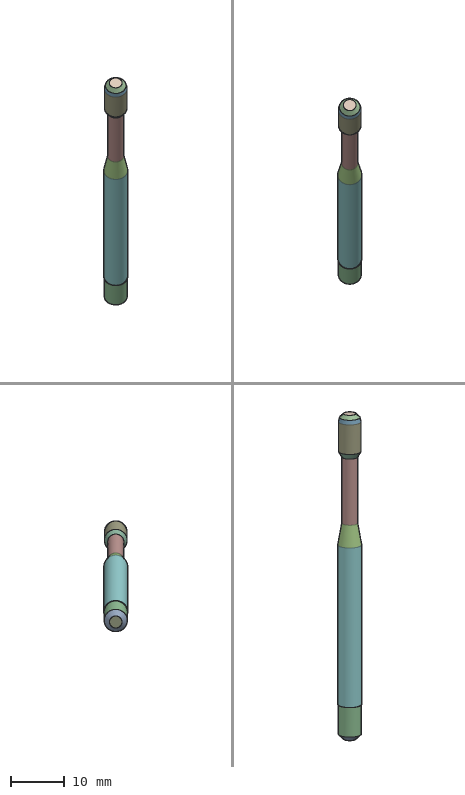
import cadquery as cq


body_diameter = 4.5
tail_diameter = 4.32
head_diameter = 4.25
shoulder_diameter = 3.85
neck_diameter = 3.02

total_length = 63.2
tail_chamfer = 1.0
crown_chamfer = 0.74
shoulder_taper_length = 0.84
head_length = 5.75
head_underside_length = 1.07
neck_taper_length = 4.2

tail_top = 6.75
body_top = 37.75
neck_bottom = body_top + neck_taper_length
crown_bottom = total_length - crown_chamfer
head_top = crown_bottom - shoulder_taper_length
head_bottom = head_top - head_length
neck_top = head_bottom - head_underside_length

tail_face_diameter = tail_diameter - 2 * tail_chamfer
crown_face_diameter = shoulder_diameter - 2 * crown_chamfer

stations = [
    (tail_face_diameter, 0),
    (tail_diameter, tail_chamfer),
    (tail_diameter, tail_top),
    (body_diameter, tail_top),
    (body_diameter, body_top),
    (neck_diameter, neck_bottom),
    (neck_diameter, neck_top),
    (head_diameter, head_bottom),
    (head_diameter, head_top),
    (shoulder_diameter, crown_bottom),
    (crown_face_diameter, total_length),
]


def turned_solid(profile):
    """Revolve a half profile of (diameter, height) stations about the Z axis."""
    outline = [(diameter / 2, height) for diameter, height in profile]
    axis_bottom = (0, profile[0][1])
    axis_top = (0, profile[-1][1])
    closed = cq.Workplane("XZ").polyline([axis_bottom] + outline + [axis_top]).close()
    return closed.revolve(360, (0, 0), (0, 1))


result = turned_solid(stations)